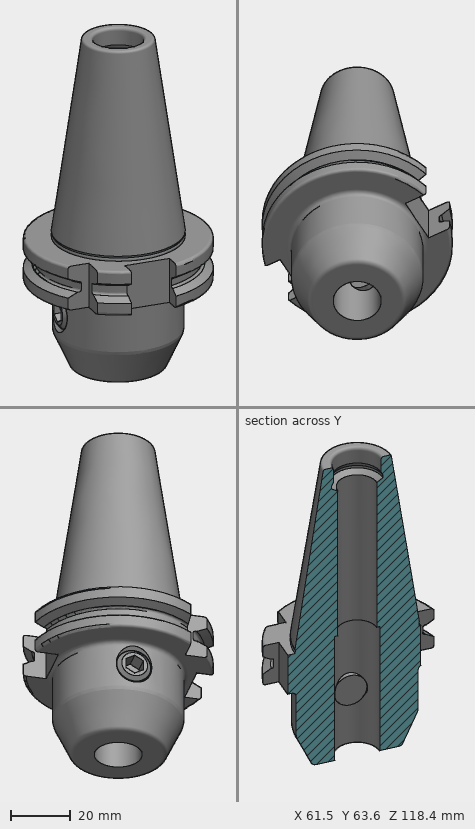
import cadquery as cq
import math

TAPER_RATIO = 7 / 24
GAUGE_RADIUS = 44.45 / 2
TAPER_TOP = 68.4
TAPER_TOP_FILLET = 1.0
TAPER_BOTTOM = -1.4

RELIEF_DEPTH = 0.2
RELIEF_ROOT = -2.1
RELIEF_BOTTOM = -2.85

FLANGE_RADIUS = 63.55 / 2
FLANGE_TOP = -3.2
FLANGE_BOTTOM = -19.1
FLANGE_FILLET = 1.0
GROOVE_ROOT_RADIUS = 56.0 / 2
GROOVE_RIM_WIDTH = 7.0
GROOVE_FLANK_ANGLE = 30.0
GROOVE_ROOT_WIDTH = 3.75
GROOVE_ROOT_FILLET = 0.7

SLOT_WIDTH = 16.1
SLOT_FLOOR_LEFT = -22.8
SLOT_FLOOR_RIGHT = 25.0
NOTCH_CORNER = 18.4
CUT_CLEARANCE = 1.0

BODY_RADIUS = 44.0 / 2
BODY_ROOT_FILLET = 1.6
NOSE_TOP = -37.0
NOSE_BOTTOM = -50.0
NOSE_END_RADIUS = 16.0
NOSE_TOP_FILLET = 3.0
NOSE_END_FILLET = 1.8

SHANK_BORE_RADIUS = 16.0 / 2
SHANK_BORE_DEPTH = 50.0
THROUGH_BORE_RADIUS = 14.0 / 2
SOCKET_RADIUS = 17.0 / 2
SOCKET_MOUTH_FILLET = 1.15
SOCKET_DEPTH = 6.15
UNDERCUT_RADIUS = 9.2
UNDERCUT_START_DEPTH = 7.6
UNDERCUT_END_DEPTH = 8.55
SOCKET_CONE_DEPTH = 9.9

SCREW_HEIGHT = -27.5
SCREW_RADIUS = 11.8 / 2
SCREW_FACE_RADIUS = 8.9 / 2
SCREW_FACE_Y = -22.0
SCREW_TIP_Y = -6.2
SCREW_HEX_FLATS = 6.0
SCREW_HEX_DEPTH = 6.0
HEX_HALF_SIDE_ANGLE = 30.0
SCREW_HOLE_MOUTH_RADIUS = 14.0 / 2


def taper_radius(z):
    return GAUGE_RADIUS - z * TAPER_RATIO / 2


def revolve_profile(points):
    """Revolve a closed (radius, z) outline about the Z axis."""
    return cq.Workplane("XZ").polyline(points).close().revolve(360, (0, 0, 0), (0, 1, 0))


def fillet_circle(part, radius, z, size):
    """Fillet the one circular edge with this radius at this height."""
    tolerance = 1e-4
    edges = part.edges("%CIRCLE").filter(
        lambda edge: abs(edge.radius() - radius) < tolerance and abs(edge.Center().z - z) < tolerance
    )
    return edges.fillet(size)


def make_outer_body():
    groove_center = (FLANGE_TOP + FLANGE_BOTTOM) / 2
    rim_half = GROOVE_RIM_WIDTH / 2
    root_half = GROOVE_ROOT_WIDTH / 2
    flank_end_radius = FLANGE_RADIUS - (rim_half - root_half) / math.tan(math.radians(GROOVE_FLANK_ANGLE))
    neck_radius = taper_radius(TAPER_BOTTOM)
    body = revolve_profile([
        (0, TAPER_TOP),
        (taper_radius(TAPER_TOP), TAPER_TOP),
        (neck_radius, TAPER_BOTTOM),
        (neck_radius - RELIEF_DEPTH, RELIEF_ROOT),
        (neck_radius, RELIEF_BOTTOM),
        (neck_radius, FLANGE_TOP),
        (FLANGE_RADIUS, FLANGE_TOP),
        (FLANGE_RADIUS, groove_center + rim_half),
        (flank_end_radius, groove_center + root_half),
        (GROOVE_ROOT_RADIUS, groove_center + root_half),
        (GROOVE_ROOT_RADIUS, groove_center - root_half),
        (flank_end_radius, groove_center - root_half),
        (FLANGE_RADIUS, groove_center - rim_half),
        (FLANGE_RADIUS, FLANGE_BOTTOM),
        (BODY_RADIUS, FLANGE_BOTTOM),
        (BODY_RADIUS, NOSE_TOP),
        (NOSE_END_RADIUS, NOSE_BOTTOM),
        (0, NOSE_BOTTOM),
    ])
    rounded_edges = [
        (taper_radius(TAPER_TOP), TAPER_TOP, TAPER_TOP_FILLET),
        (FLANGE_RADIUS, FLANGE_TOP, FLANGE_FILLET),
        (GROOVE_ROOT_RADIUS, groove_center + root_half, GROOVE_ROOT_FILLET),
        (GROOVE_ROOT_RADIUS, groove_center - root_half, GROOVE_ROOT_FILLET),
        (FLANGE_RADIUS, FLANGE_BOTTOM, FLANGE_FILLET),
        (BODY_RADIUS, FLANGE_BOTTOM, BODY_ROOT_FILLET),
        (BODY_RADIUS, NOSE_TOP, NOSE_TOP_FILLET),
        (NOSE_END_RADIUS, NOSE_BOTTOM, NOSE_END_FILLET),
    ]
    for radius, z, size in rounded_edges:
        body = fillet_circle(body, radius, z, size)
    return body


def flange_cutter(x_start, x_end, y_start, y_end):
    """Box over the flange and the fillet below it, between two X and two Y limits."""
    bottom = FLANGE_BOTTOM - BODY_ROOT_FILLET
    height = FLANGE_TOP - bottom
    return (
        cq.Workplane("XY", origin=(0, 0, bottom))
        .center((x_start + x_end) / 2, (y_start + y_end) / 2)
        .rect(x_end - x_start, y_end - y_start)
        .extrude(height)
    )


def cut_flange(body):
    outside = FLANGE_RADIUS + CUT_CLEARANCE
    half_slot = SLOT_WIDTH / 2
    left_slot = flange_cutter(-outside, SLOT_FLOOR_LEFT, -half_slot, half_slot)
    right_slot = flange_cutter(SLOT_FLOOR_RIGHT, outside, -half_slot, half_slot)
    notch = flange_cutter(NOTCH_CORNER, outside, -outside, -NOTCH_CORNER)
    return body.cut(left_slot).cut(right_slot).cut(notch)


def cut_axial_bores(body):
    shank_bore_end = NOSE_BOTTOM + SHANK_BORE_DEPTH
    bores = revolve_profile([
        (0, NOSE_BOTTOM),
        (SHANK_BORE_RADIUS, NOSE_BOTTOM),
        (SHANK_BORE_RADIUS, shank_bore_end),
        (THROUGH_BORE_RADIUS, shank_bore_end),
        (THROUGH_BORE_RADIUS, TAPER_TOP - SOCKET_CONE_DEPTH),
        (UNDERCUT_RADIUS, TAPER_TOP - UNDERCUT_END_DEPTH),
        (UNDERCUT_RADIUS, TAPER_TOP - UNDERCUT_START_DEPTH),
        (SOCKET_RADIUS, TAPER_TOP - SOCKET_DEPTH),
        (SOCKET_RADIUS, TAPER_TOP),
        (0, TAPER_TOP),
    ])
    return fillet_circle(body.cut(bores), SOCKET_RADIUS, TAPER_TOP, SOCKET_MOUTH_FILLET)


def screw_plane(y):
    """Workplane across the screw axis at the given Y, with its normal along +Y."""
    return cq.Workplane("XZ", origin=(0, y, SCREW_HEIGHT)).transformed(rotate=(180, 0, 0))


def add_clamping_screw(body):
    chamfer = SCREW_HOLE_MOUTH_RADIUS - SCREW_RADIUS
    hole = (
        screw_plane(-BODY_RADIUS - chamfer)
        .circle(SCREW_RADIUS)
        .extrude(BODY_RADIUS + chamfer)
    )
    countersink_depth = 2 * chamfer
    countersink = (
        screw_plane(-BODY_RADIUS - chamfer)
        .circle(SCREW_HOLE_MOUTH_RADIUS + chamfer)
        .workplane(offset=countersink_depth)
        .circle(SCREW_RADIUS)
        .loft(ruled=True)
    )
    hex_corner_diameter = SCREW_HEX_FLATS / math.cos(math.radians(HEX_HALF_SIDE_ANGLE))
    hex_socket = (
        screw_plane(SCREW_FACE_Y)
        .transformed(rotate=(0, 0, HEX_HALF_SIDE_ANGLE))
        .polygon(6, hex_corner_diameter)
        .extrude(SCREW_HEX_DEPTH)
    )
    screw = (
        screw_plane(SCREW_FACE_Y)
        .circle(SCREW_RADIUS)
        .extrude(SCREW_TIP_Y - SCREW_FACE_Y)
        .faces("<Y")
        .chamfer(SCREW_RADIUS - SCREW_FACE_RADIUS)
        .cut(hex_socket)
    )
    return body.cut(hole).cut(countersink).union(screw)


result = add_clamping_screw(cut_axial_bores(cut_flange(make_outer_body())))